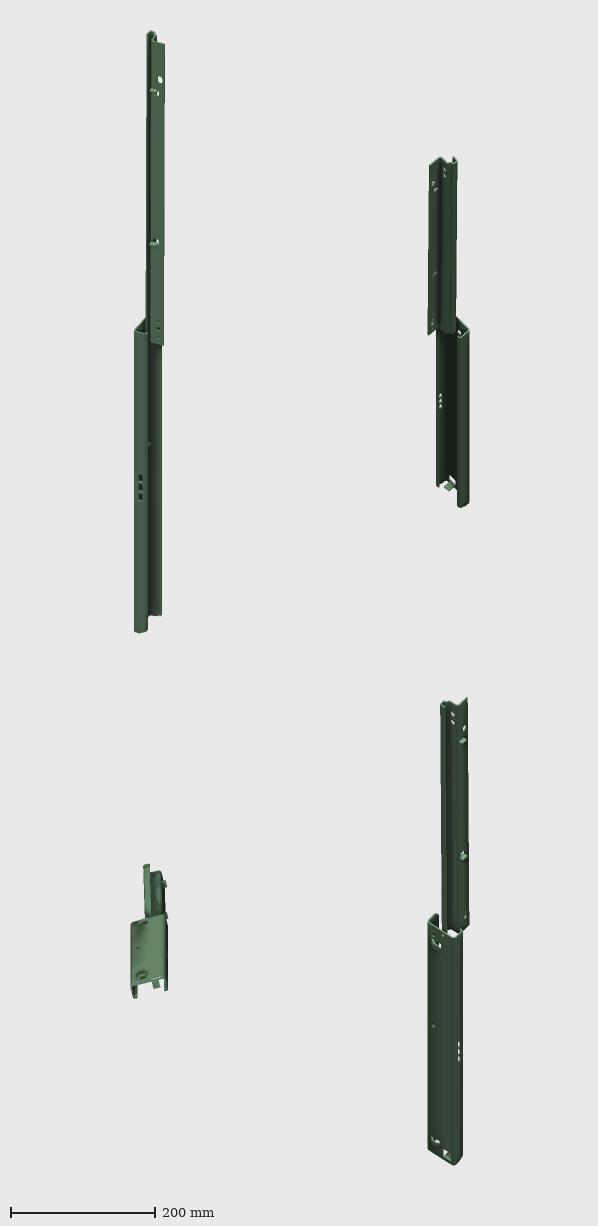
import cadquery as cq
import math

TOTAL_HEIGHT = 985.0
SHEET = 2.0

WEB_X = 6.0
RAIL_DEPTH = 21.0
RAIL_WIDTH = 50.0
RAIL_HEIGHT = 501.0
LIP = 6.0
CORNER_RADIUS = 5.0
LIP_RADIUS = 2.5
FOOT_RISE = 6.0
FOOT_START = 16.0

MOUNTING_HOOKS = [(24.0, 32.5, 41.0, 460.0, 472.0), (27.0, 35.0, 41.0, 27.0, 35.0)]

STOP_WINDOW_Y = (6.0, 21.0)
STOP_WINDOW_Z = (7.0, 24.0)
STOP_TAB_Y = (10.0, 20.0)
STOP_TAB_REACH = 14.0

DENT_Y = (32.5, 43.0)
DENT_Z = (276.0, 291.0)
DENT_DEPTH = 5.0

RAIL_HOLES = [(38.0, 481.0, 7.0), (21.0, 493.5, 5.0)]

FLANGE_WINDOW_COUNT = 3
FLANGE_WINDOW_PITCH = 16.0
FLANGE_WINDOW_CENTER = (18.0, 243.0)
FLANGE_WINDOW_WIDTH = 6.0
FLANGE_WINDOW_HEIGHT = 12.0

DRAWER_BOTTOM = 485.0
DRAWER_LENGTH = TOTAL_HEIGHT - DRAWER_BOTTOM
DRAWER_LEAN = 3.0
HOOK_LEFT = 15.0
HOOK_RIGHT = 25.0
HOOK_TOP = 32.5
HOOK_LOW = 23.0
HOOK_RADIUS = 3.0
JOG_TOP = 29.0
JOG_LOW = 26.0
WALL_RIGHT = 30.0
FLANGE_LOW = 10.0
FLANGE_TIP = 49.0
BEND_RADIUS = 2.0

FLANGE_HOLES = [(522.0, 4.0), (510.0, 7.0), (495.0, 4.0)]
FLANGE_HOLE_X = 41.0
SLOT_X = 42.0
SLOT_Z = 924.0
SLOT_WIDTH = 8.0
SLOT_LENGTH = 12.0
TAB_WINDOW_X = (32.5, 41.0)
TAB_WINDOW_HEIGHT = 10.0
TAB_TIP_X = 39.0
TAB_THICKNESS = 3.0
TAB_DROP = 6.0
FLANGE_TABS = [(896.0, 903.0), (648.0, 648.0)]

WALL_HOLE_Y = 20.0
WALL_HOLE_DIAMETER = 8.0
WALL_HOLE_Z = [960.0, 943.0]


def box(x_range, y_range, z_range):
    """Axis-aligned block between the given (low, high) limits."""
    size = [high - low for low, high in (x_range, y_range, z_range)]
    corner = (x_range[0], y_range[0], z_range[0])
    return cq.Workplane("XY").box(*size, centered=False).translate(corner)


def around(center, size):
    """Limits of a span of the given size about its center."""
    return (center - size / 2, center + size / 2)


def hole_along_x(x_start, y, z, diameter):
    """Round cutter through one sheet whose lower X face is at x_start."""
    return cq.Workplane("YZ", origin=(x_start, y, z)).circle(diameter / 2).extrude(SHEET)


def channel():
    """C section: a rounded tube opened between the two lips."""
    front = WEB_X + RAIL_DEPTH
    height = (0, RAIL_HEIGHT)
    outside = box((WEB_X, front), (0, RAIL_WIDTH), height)
    outside = outside.edges("|Z and <X").fillet(CORNER_RADIUS)
    outside = outside.edges("|Z and >X").fillet(LIP_RADIUS)
    inside = box((WEB_X + SHEET, front - SHEET), (SHEET, RAIL_WIDTH - SHEET), height)
    inside = inside.edges("|Z and <X").fillet(CORNER_RADIUS - SHEET)
    inside = inside.edges("|Z and >X").fillet(LIP_RADIUS - SHEET)
    mouth = box((WEB_X + RAIL_DEPTH / 2, front), (LIP, RAIL_WIDTH - LIP), height)
    return outside.cut(inside).cut(mouth)


def foot_wedge():
    """Wedge that slants the lower ends of the flanges."""
    front = WEB_X + RAIL_DEPTH
    corners = [(FOOT_START, 0), (front, 0), (front, FOOT_RISE)]
    return cq.Workplane("XZ").polyline(corners).close().extrude(-RAIL_WIDTH)


def add_mounting_hook(rail, plate_low, plate_high, arm_end, z_low, z_high):
    """Lanced strap: a plate in front of its window, joined to the web by a sloping arm."""
    window = box((WEB_X, WEB_X + SHEET), (plate_low, plate_high), (z_low, z_high))
    outline = [
        (0, plate_low),
        (0, plate_high),
        (WEB_X, arm_end),
        (WEB_X + SHEET, arm_end),
        (WEB_X + SHEET, arm_end - SHEET),
        (SHEET, plate_high - SHEET),
        (SHEET, plate_low),
    ]
    plane = cq.Workplane("XY", origin=(0, 0, z_low))
    strap = plane.polyline(outline).close().extrude(z_high - z_low)
    return rail.cut(window).union(strap)


def add_stop_tab(rail):
    """Square window with its sheet folded inwards as a horizontal tab."""
    floor = STOP_WINDOW_Z[0]
    window = box((WEB_X, WEB_X + SHEET), STOP_WINDOW_Y, STOP_WINDOW_Z)
    tab = box((WEB_X, WEB_X + STOP_TAB_REACH), STOP_TAB_Y, (floor - SHEET, floor))
    return rail.cut(window).union(tab)


def add_dent(rail):
    """Dent in the web that keeps the sheet thickness on every side."""
    bump = box((WEB_X, WEB_X + SHEET + DENT_DEPTH), DENT_Y, DENT_Z)
    hollow_y = (DENT_Y[0] + SHEET, DENT_Y[1] - SHEET)
    hollow_z = (DENT_Z[0] + SHEET, DENT_Z[1] - SHEET)
    hollow = box((WEB_X, WEB_X + DENT_DEPTH), hollow_y, hollow_z)
    return rail.union(bump).cut(hollow)


def cut_flange_windows(rail):
    center_x, center_z = FLANGE_WINDOW_CENTER
    for index in range(FLANGE_WINDOW_COUNT):
        z = center_z + (index - (FLANGE_WINDOW_COUNT - 1) / 2) * FLANGE_WINDOW_PITCH
        x_range = around(center_x, FLANGE_WINDOW_WIDTH)
        rail = rail.cut(box(x_range, (0, SHEET), around(z, FLANGE_WINDOW_HEIGHT)))
    return rail


def make_cabinet_rail():
    rail = channel().cut(foot_wedge())
    for hook in MOUNTING_HOOKS:
        rail = add_mounting_hook(rail, *hook)
    rail = add_stop_tab(rail)
    rail = add_dent(rail)
    for y, z, diameter in RAIL_HOLES:
        rail = rail.cut(hole_along_x(WEB_X, y, z, diameter))
    return cut_flange_windows(rail)


def drawer_profile():
    """Upright wall with a downturned hook at its +Y end and a flange at its -Y end."""
    outline = [
        (HOOK_LEFT, HOOK_LOW),
        (HOOK_LEFT, HOOK_TOP),
        (HOOK_RIGHT, HOOK_TOP),
        (HOOK_RIGHT, JOG_TOP),
        (WALL_RIGHT, JOG_LOW),
        (WALL_RIGHT, FLANGE_LOW + SHEET),
        (FLANGE_TIP, FLANGE_LOW + SHEET),
        (FLANGE_TIP, FLANGE_LOW),
        (WALL_RIGHT - SHEET, FLANGE_LOW),
        (WALL_RIGHT - SHEET, JOG_LOW - SHEET / 2),
        (HOOK_RIGHT - SHEET, JOG_TOP - SHEET / 2),
        (HOOK_RIGHT - SHEET, HOOK_TOP - SHEET),
        (HOOK_LEFT + SHEET, HOOK_TOP - SHEET),
        (HOOK_LEFT + SHEET, HOOK_LOW),
    ]
    plane = cq.Workplane("XY", origin=(0, 0, DRAWER_BOTTOM))
    rail = plane.polyline(outline).close().extrude(DRAWER_LENGTH)
    rail = rail.edges("|Z and >Y").fillet(HOOK_RADIUS)
    middle = DRAWER_BOTTOM + DRAWER_LENGTH / 2
    bends = [
        (WALL_RIGHT, FLANGE_LOW + SHEET, BEND_RADIUS),
        (WALL_RIGHT - SHEET, FLANGE_LOW, BEND_RADIUS + SHEET),
    ]
    for x, y, radius in bends:
        rail = rail.edges(cq.NearestToPointSelector((x, y, middle))).fillet(radius)
    return rail


def cut_flange_holes(rail):
    """Three round holes near the lower end and an upright slot near the upper end."""
    plane = cq.Workplane("XZ", origin=(0, FLANGE_LOW + SHEET, 0))
    for z, diameter in FLANGE_HOLES:
        rail = rail.cut(plane.center(FLANGE_HOLE_X, z).circle(diameter / 2).extrude(SHEET))
    slot = plane.center(SLOT_X, SLOT_Z).slot2D(SLOT_LENGTH, SLOT_WIDTH, 90).extrude(SHEET)
    return rail.cut(slot)


def add_flange_tab(rail, window_low, tab_low):
    """Window in the flange with a tab folded towards -Y."""
    flange_y = (FLANGE_LOW, FLANGE_LOW + SHEET)
    window = box(TAB_WINDOW_X, flange_y, (window_low, window_low + TAB_WINDOW_HEIGHT))
    tab_x = (WALL_RIGHT, TAB_TIP_X)
    tab_y = (FLANGE_LOW - TAB_DROP, FLANGE_LOW + SHEET)
    tab = box(tab_x, tab_y, (tab_low, tab_low + TAB_THICKNESS))
    return rail.cut(window).union(tab)


def make_drawer_rail():
    rail = cut_flange_holes(drawer_profile())
    for z in WALL_HOLE_Z:
        rail = rail.cut(hole_along_x(WALL_RIGHT - SHEET, WALL_HOLE_Y, z, WALL_HOLE_DIAMETER))
    for window_low, tab_low in FLANGE_TABS:
        rail = add_flange_tab(rail, window_low, tab_low)
    middle = DRAWER_BOTTOM + DRAWER_LENGTH / 2
    lean_angle = math.degrees(math.atan2(DRAWER_LEAN, DRAWER_LENGTH))
    return rail.rotate((0, FLANGE_LOW, middle), (1, FLANGE_LOW, middle), -lean_angle)


cabinet_rail = make_cabinet_rail()
drawer_rail = make_drawer_rail()
result = cq.Compound.makeCompound([cabinet_rail.val(), drawer_rail.val()])